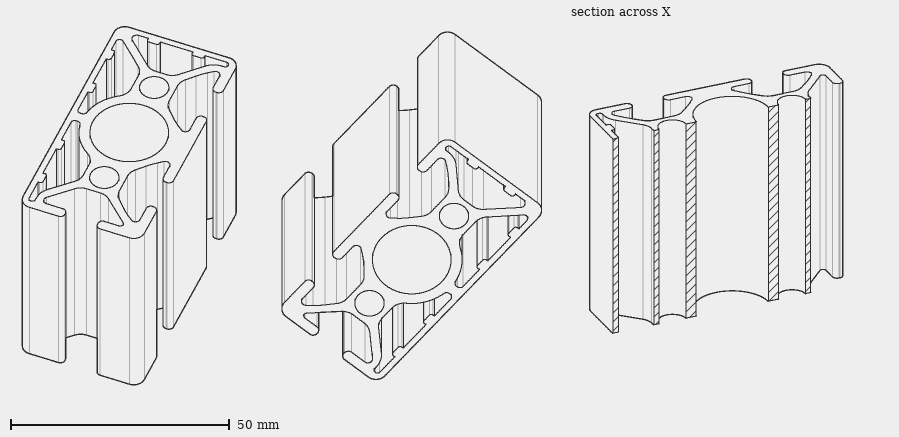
import cadquery as cq
import math

cell = 30.0
length = 50.0
corner_radius = 2.65
half_cell = cell / 2

small_bore_diameter = 6.7
large_bore_diameter = 18.0

wall = 1.5
lip = 2.5
core_face = 4.75
core_radius = 3.6
inner_wall = half_cell - wall
inner_lip = half_cell - lip

mouth_half = 4.0
lip_radius = 1.15
mouth_flare = 1.8
overshoot = 0.6

min_edge = 0.0005

rib_width = 3.0
rib_radius = 0.6

boss_radius = 11.5
boss_start_angle = 168.0
fillet_center_x = -(core_face + core_radius)
boss_end_angle = math.degrees(math.acos(fillet_center_x / (boss_radius + core_radius)))
half_web = 1.25
web_end_radius = 0.9

wide_flank = 3.85
medium_flank = 3.55
narrow_flank = 2.6

flank_bend_x = 8.45
flank_bend_y = 7.9
flank_bend_radius = 18.0
side_slot_tip = 11.15
side_slot_tip_radius = 1.1

hook_face = 12.0
hook_vertex = 9.7
hook_bend_radius = 4.8
hook_end = 13.0
hook_end_radius = 0.65

side_arm_tip = 11.95
side_arm_tip_radius = 0.9
top_arm_start = 3.0
top_arm_tip = 12.25
top_arm_tip_radius = 1.15

bottom_left_start = 3.9
bottom_left_tip = 11.75
bottom_left_tip_radius = 1.1
bottom_right_start = 2.4
bottom_right_tip = 10.6
bottom_right_tip_radius = 0.7


def rounded_prism(corners):
    """Prism over a closed outline of (x, y, corner radius) points."""
    path = None
    end_before = None
    count = len(corners)
    for i, (x, y, radius) in enumerate(corners):
        here = cq.Vector(x, y)
        back = (cq.Vector(*corners[i - 1][:2]) - here).normalized()
        ahead = (cq.Vector(*corners[(i + 1) % count][:2]) - here).normalized()
        half_angle = back.getAngle(ahead) / 2
        setback = radius / math.tan(half_angle)
        start = here + back * setback
        end = here + ahead * setback
        if path is None:
            path = cq.Workplane("XY").moveTo(start.x, start.y)
        elif (start - end_before).Length > min_edge:
            path = path.lineTo(start.x, start.y)
        if radius > 0:
            bisector = (back + ahead).normalized()
            middle = here + bisector * (radius / math.sin(half_angle) - radius)
            path = path.threePointArc((middle.x, middle.y), (end.x, end.y))
        end_before = end
    return path.close().extrude(length)


def mirror_y(corners):
    """The outline reflected across the X axis."""
    return [(x, -y, radius) for x, y, radius in corners]


def turn_down(corners):
    """The outline turned so that +X becomes -Y and +Y becomes +X."""
    return [(y, -x, radius) for x, y, radius in corners]


def mouth(side):
    """One side of a slot mouth, from the lip's inner edge out past the wall; it opens along +X."""
    return [
        (inner_lip, side * mouth_half, lip_radius),
        (half_cell, side * mouth_half, lip_radius),
        (half_cell, side * (mouth_half + mouth_flare), 0),
        (half_cell + overshoot, side * (mouth_half + mouth_flare), 0),
    ]


def ribs():
    """Two ribs on a closed wall at -X, listed from -Y to +Y."""
    far_edge = mouth_half + rib_width
    points = []
    for low, high in ((-far_edge, -mouth_half), (mouth_half, far_edge)):
        points += [
            (-inner_wall, low, 0),
            (-inner_lip, low, rib_radius),
            (-inner_lip, high, rib_radius),
            (-inner_wall, high, 0),
        ]
    return points


def side_slot():
    """T-slot that opens on the +X wall."""
    flank = [
        (core_face, wide_flank, core_radius),
        (flank_bend_x, flank_bend_y, flank_bend_radius),
        (inner_lip, side_slot_tip, side_slot_tip_radius),
    ] + mouth(1)
    return rounded_prism(flank + mirror_y(flank)[::-1])


def bottom_slot():
    """T-slot that opens on the -Y wall; its two flanks differ."""
    left = [
        (core_face, -bottom_left_start, core_radius),
        (inner_lip, -bottom_left_tip, bottom_left_tip_radius),
    ] + mouth(-1)
    right = [
        (core_face, bottom_right_start, core_radius),
        (inner_lip, bottom_right_tip, bottom_right_tip_radius),
    ] + mouth(1)
    return rounded_prism(turn_down(left + right[::-1]))


def boss_flank():
    """Flank from the web beside the large bore to the core, for the cell above the bore."""
    middle_angle = math.radians((boss_start_angle + boss_end_angle) / 2)
    half_sweep = math.radians((boss_start_angle - boss_end_angle) / 2)
    vertex_reach = boss_radius / math.cos(half_sweep)
    vertex_x = vertex_reach * math.cos(middle_angle)
    vertex_y = vertex_reach * math.sin(middle_angle) - half_cell
    web_face = half_web - half_cell
    run = -core_face - vertex_x
    core_y = vertex_y - run / math.tan(math.radians(boss_end_angle))
    return [
        (-inner_wall, web_face, web_end_radius),
        (-boss_radius, web_face, web_end_radius),
        (vertex_x, vertex_y, boss_radius),
        (-core_face, core_y, core_radius),
    ]


def hooked_arm():
    """Arm at the +Y end of a pocket whose closed wall is at -X."""
    return [
        (-core_face, narrow_flank, core_radius),
        (-hook_face, hook_vertex, hook_bend_radius),
        (-hook_face, hook_end, hook_end_radius),
        (-inner_wall, hook_end, hook_end_radius),
    ]


def upper_side_pocket():
    """Closed pocket along the -X wall of the upper cell."""
    arm = [
        (-core_face, medium_flank, core_radius),
        (-inner_wall, side_arm_tip, side_arm_tip_radius),
    ]
    return rounded_prism(boss_flank() + arm + ribs()[::-1])


def lower_side_pocket():
    """Closed pocket along the -X wall of the lower cell."""
    return rounded_prism(mirror_y(boss_flank() + hooked_arm() + ribs()[::-1]))


def top_pocket():
    """Closed pocket along the +Y wall, laid out along -X and then turned."""
    arm = [
        (-inner_wall, -top_arm_tip, top_arm_tip_radius),
        (-core_face, -top_arm_start, core_radius),
    ]
    outline = arm + hooked_arm() + ribs()[::-1]
    return rounded_prism(turn_down(outline))


def bore(diameter):
    """Round hole through the full length."""
    return cq.Workplane("XY").circle(diameter / 2).extrude(length)


body = cq.Workplane("XY").rect(cell, 2 * cell).extrude(length).edges("|Z").fillet(corner_radius)
body = body.cut(bore(large_bore_diameter))

upper_cuts = [bore(small_bore_diameter), side_slot(), upper_side_pocket(), top_pocket()]
lower_cuts = [bore(small_bore_diameter), side_slot(), lower_side_pocket(), bottom_slot()]
for cell_y, cuts in ((half_cell, upper_cuts), (-half_cell, lower_cuts)):
    for cut in cuts:
        body = body.cut(cut.translate((0, cell_y, 0)))

result = body